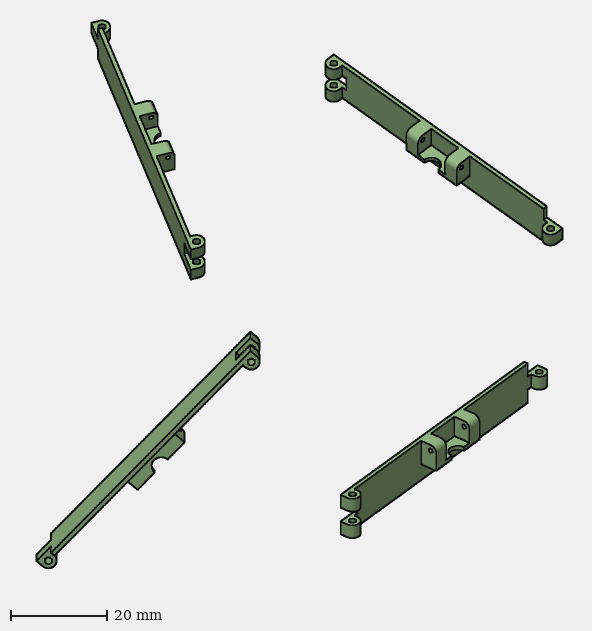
import cadquery as cq

length = 66.5
height = 10.0
plate_thickness = 1.0
hinge_length = 4.5
tab_height = 3.3
notch_height = 3.45

knuckle_radius = 1.7
knuckle_axis_y = 1.8
knuckle_bore = 1.5

bracket_width = 14.6
bracket_depth = 5.0
bracket_bottom = 4.05
lug_gap = 7.85
lug_round = 1.45
pin_diameter = 1.0
cradle_thickness = 1.0
cradle_radius = 2.0

middle_x = length / 2
middle_z = height / 2


def box(x_min, x_max, y_min, y_max, z_min, z_max):
    size = (x_max - x_min, y_max - y_min, z_max - z_min)
    return cq.Workplane("XY").box(*size, centered=False).translate((x_min, y_min, z_min))


def z_cylinder(x, y, radius, z_min, z_max):
    return cq.Workplane("XY", origin=(x, y, z_min)).circle(radius).extrude(z_max - z_min)


def knuckle(axis_x, z_min, z_max):
    """Upright round-topped knuckle standing on the outer face."""
    base = box(axis_x - knuckle_radius, axis_x + knuckle_radius, 0, knuckle_axis_y, z_min, z_max)
    return base.union(z_cylinder(axis_x, knuckle_axis_y, knuckle_radius, z_min, z_max))


def plate():
    """Plate with a central tab at one end and a notch at the other."""
    body = box(hinge_length, length, 0, plate_thickness, 0, height)
    tab_bottom = middle_z - tab_height / 2
    tab = box(0, hinge_length, 0, plate_thickness, tab_bottom, tab_bottom + tab_height)
    notch_bottom = middle_z - notch_height / 2
    notch = box(length - hinge_length, length, 0, plate_thickness,
                notch_bottom, notch_bottom + notch_height)
    return body.union(tab).cut(notch)


def bracket():
    """Two rounded pin lugs and the cradle wall between them."""
    x_min = middle_x - bracket_width / 2
    x_max = middle_x + bracket_width / 2
    block = box(x_min, x_max, 0, bracket_depth, bracket_bottom, height)
    block = block.edges("|X and >Y and >Z").fillet(lug_round)
    gap = box(middle_x - lug_gap / 2, middle_x + lug_gap / 2, plate_thickness, bracket_depth,
              bracket_bottom + cradle_thickness, height)
    cradle = z_cylinder(middle_x, bracket_depth, cradle_radius, bracket_bottom, height)
    pin_axis = (x_min, bracket_depth - lug_round, height - lug_round)
    pin_hole = cq.Workplane("YZ", origin=pin_axis).circle(pin_diameter / 2).extrude(bracket_width)
    return block.cut(gap).cut(cradle).cut(pin_hole)


result = plate().union(bracket())

tab_axis_x = knuckle_radius
notch_axis_x = length - knuckle_radius
knuckles = [
    (tab_axis_x, middle_z - tab_height / 2, middle_z + tab_height / 2),
    (notch_axis_x, 0, middle_z - notch_height / 2),
    (notch_axis_x, middle_z + notch_height / 2, height),
]
for axis_x, z_min, z_max in knuckles:
    result = result.union(knuckle(axis_x, z_min, z_max))

for axis_x in (tab_axis_x, notch_axis_x):
    result = result.cut(z_cylinder(axis_x, knuckle_axis_y, knuckle_bore / 2, 0, height))